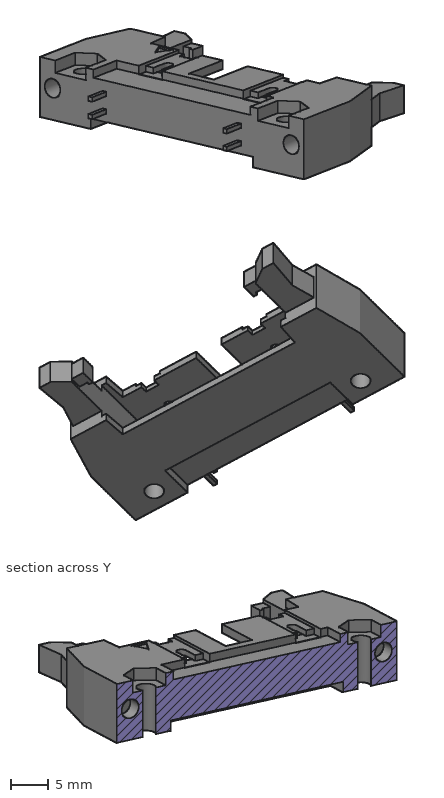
import cadquery as cq
import math

length = 45.0
height = 8.5
half_length = length / 2
mid_z = height / 2

tower_top_y = 17.35
tower_outer_top_x = 20.55
tower_inner_top_x = 14.62
tower_inner_base_x = 14.4
outer_slope_y = 10.12
mouth_y = 13.9

wall = 1.25
cavity_half_width = 15.4
cavity_floor_y = 7.5

step_y = 5.1
ledge_half_width = 13.35
ledge_depth = 1.15
under_half_width = 13.8
under_depth = 1.5

key_width = 4.25
key_end_y = 6.5

groove_xs = (-7.6, 10.2)
groove_width = 4.0
groove_depth = 0.428
groove_step_y = 6.65
slot_width = 1.4
slot_end_y = 9.68
notch_width = 2.1
notch_length = 1.05

triangle_x = -11.48
triangle_width = 2.45
triangle_base_y = 13.55
triangle_depth = 0.25

mount_x = 17.3
mount_y = 2.9
mount_diameter = 2.65
nut_flats = 5.2
nut_depth = 1.75

end_hole_x = 20.35
end_hole_z = 4.5
end_hole_diameter = 2.65
end_hole_depth = 4.05

pin_x = 11.48
pin_size = 0.65
pin_pitch_z = 2.48
pin_length = 3.15

arm_thickness = 3.95
arm_top_y = 25.8
arm_tip_outer_x = 19.58
arm_tip_inner_x = 17.75
arm_waist_x = 19.15
arm_waist_y = 20.92
arm_base_outer_x = 20.15
arm_overlap = 0.45
hook_thickness = 2.95
hook_top_y = 24.15
hook_under_y = 22.35
hook_barb_y = 21.95
hook_tip_x = 13.45
hook_barb_x = 14.1


def block(x_min, x_max, y_min, y_max, z_min, z_max):
    """Box given by its limits along each axis."""
    size = (x_max - x_min, y_max - y_min, z_max - z_min)
    return cq.Workplane("XY").box(*size, centered=False).translate((x_min, y_min, z_min))


def centred_block(x, width, y_min, y_max, z_min, z_max):
    """Box centred on x."""
    return block(x - width / 2, x + width / 2, y_min, y_max, z_min, z_max)


def prism(points, z_min, z_max):
    """Closed outline in XY extruded between two heights."""
    return cq.Workplane("XY").workplane(offset=z_min).polyline(points).close().extrude(z_max - z_min)


def housing():
    right_side = [
        (half_length, 0),
        (half_length, outer_slope_y),
        (tower_outer_top_x, tower_top_y),
        (tower_inner_top_x, tower_top_y),
        (tower_inner_base_x, mouth_y),
    ]
    left_side = [(-x, y) for x, y in reversed(right_side)]
    body = prism(right_side + left_side, 0, height)

    cavity = centred_block(0, 2 * cavity_half_width, cavity_floor_y, tower_top_y, wall, height - wall)
    ledge = centred_block(0, 2 * ledge_half_width, 0, step_y, height - ledge_depth, height)
    under_step = centred_block(0, 2 * under_half_width, 0, step_y, 0, under_depth)
    keyway = centred_block(0, key_width, key_end_y, mouth_y, height - wall, height)
    return body.cut(cavity).cut(ledge).cut(under_step).cut(keyway)


def groove_cut(x):
    """Groove across the top wall, with its end step, round-ended slot and mouth notch."""
    wall_z = height - wall
    slot_arc_y = slot_end_y - slot_width / 2
    groove = centred_block(x, groove_width, step_y, mouth_y, height - groove_depth, height)
    end_step = centred_block(x, groove_width, step_y, groove_step_y, wall_z, height)
    slot = centred_block(x, slot_width, groove_step_y, slot_arc_y, wall_z, height)
    slot_end = (
        cq.Workplane("XY").workplane(offset=wall_z).center(x, slot_arc_y)
        .circle(slot_width / 2).extrude(wall)
    )
    notch = centred_block(x, notch_width, mouth_y - notch_length, mouth_y, wall_z, height)
    return groove.union(end_step).union(slot).union(slot_end).union(notch)


def triangle_cut():
    """Shallow triangular mark pointing towards the pins, as tall as it is wide."""
    points = [
        (triangle_x - triangle_width / 2, triangle_base_y),
        (triangle_x + triangle_width / 2, triangle_base_y),
        (triangle_x, triangle_base_y - triangle_width),
    ]
    return prism(points, height - triangle_depth, height)


def mount_cut(x):
    """Through hole under a nut pocket that opens onto the pin-side face."""
    half_flats = nut_flats / 2
    corner_radius = half_flats / math.cos(math.pi / 6)
    shoulder_y = mount_y + corner_radius / 2
    pocket = prism(
        [
            (x - half_flats, 0),
            (x + half_flats, 0),
            (x + half_flats, shoulder_y),
            (x, mount_y + corner_radius),
            (x - half_flats, shoulder_y),
        ],
        height - nut_depth,
        height,
    )
    hole = cq.Workplane("XY").center(x, mount_y).circle(mount_diameter / 2).extrude(height)
    return pocket.union(hole)


def end_hole_cut(x):
    return (
        cq.Workplane("XZ").center(x, end_hole_z)
        .circle(end_hole_diameter / 2).extrude(-end_hole_depth)
    )


def pin(x, z):
    """Square pin on the pin-side face."""
    return centred_block(x, pin_size, -pin_length, 0, z - pin_size / 2, z + pin_size / 2)


def latch(side):
    """Latch arm with its hook; side is +1 for the right end and -1 for the left end."""
    arm_inner_x = cavity_half_width
    arm_root_y = tower_top_y - arm_overlap
    arm_points = [
        (arm_inner_x, arm_root_y),
        (arm_inner_x, hook_top_y),
        (arm_tip_inner_x, arm_top_y),
        (arm_tip_outer_x, arm_top_y),
        (arm_waist_x, arm_waist_y),
        (arm_base_outer_x, tower_top_y),
        (arm_base_outer_x, arm_root_y),
    ]
    hook_points = [
        (arm_inner_x, hook_top_y),
        (hook_tip_x, hook_top_y),
        (hook_tip_x, hook_barb_y),
        (hook_barb_x, hook_barb_y),
        (hook_barb_x, hook_under_y),
        (arm_inner_x, hook_under_y),
    ]

    def centred_prism(points, thickness):
        placed = [(side * x, y) for x, y in points]
        return prism(placed, mid_z - thickness / 2, mid_z + thickness / 2)

    return centred_prism(arm_points, arm_thickness).union(centred_prism(hook_points, hook_thickness))


result = housing().cut(triangle_cut())

for groove_x in groove_xs:
    result = result.cut(groove_cut(groove_x))

for side in (-1, 1):
    result = result.cut(mount_cut(side * mount_x))
    result = result.cut(end_hole_cut(side * end_hole_x))
    result = result.union(latch(side))
    for row in (-1, 1):
        result = result.union(pin(side * pin_x, mid_z + row * pin_pitch_z / 2))